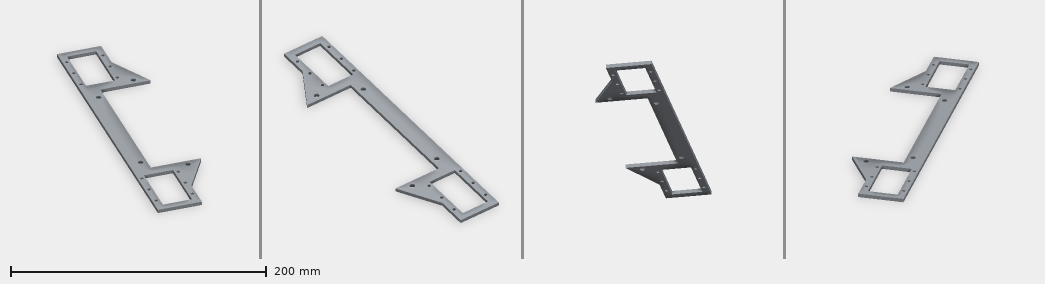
import cadquery as cq
import math

length = 240.0
thickness = 3.0
bar_width = 15.0

frame_height = 36.4
inner_edge_x = 60.0
horn_run = 35.0
horn_angle = 30.0
horn_height = frame_height + horn_run * math.tan(math.radians(horn_angle))

window_length = 45.0
window_height = 24.0
window_margin = 6.0
window_x = length / 2 - window_margin - window_length / 2
window_y = frame_height / 2

screw_diameter = 2.7
screw_pitch_x = 17.0
screw_pitch_y = 30.0
screw_center_x = 89.5

mount_diameter = 4.3
horn_hole = (65.0, 44.0)
bar_hole = (50.0, 10.0)

SIDES = (-1, 1)


def make_plate():
    """Solid plate: two horned end brackets joined by a narrow bar."""
    right_half = [
        (length / 2, 0),
        (length / 2, frame_height),
        (inner_edge_x + horn_run, frame_height),
        (inner_edge_x, horn_height),
        (inner_edge_x, bar_width),
    ]
    left_half = [(-x, y) for x, y in reversed(right_half)]
    return cq.Workplane("XY").polyline(right_half + left_half).close().extrude(thickness)


def window_cutter():
    """Blocks that open the window in both frames."""
    centers = [(side * window_x, window_y) for side in SIDES]
    return cq.Workplane("XY").pushPoints(centers).rect(window_length, window_height).extrude(thickness)


def hole_cutter(centers, diameter):
    """Cylinders through the full thickness at the given centers."""
    return cq.Workplane("XY").pushPoints(centers).circle(diameter / 2).extrude(thickness)


screw_centers = [
    (side * (screw_center_x + column * screw_pitch_x), window_y + row * screw_pitch_y / 2)
    for side in SIDES
    for column in (-1, 0, 1)
    for row in (-1, 1)
]
mount_centers = [(side * x, y) for side in SIDES for x, y in (horn_hole, bar_hole)]

result = (
    make_plate()
    .cut(window_cutter())
    .cut(hole_cutter(screw_centers, screw_diameter))
    .cut(hole_cutter(mount_centers, mount_diameter))
)